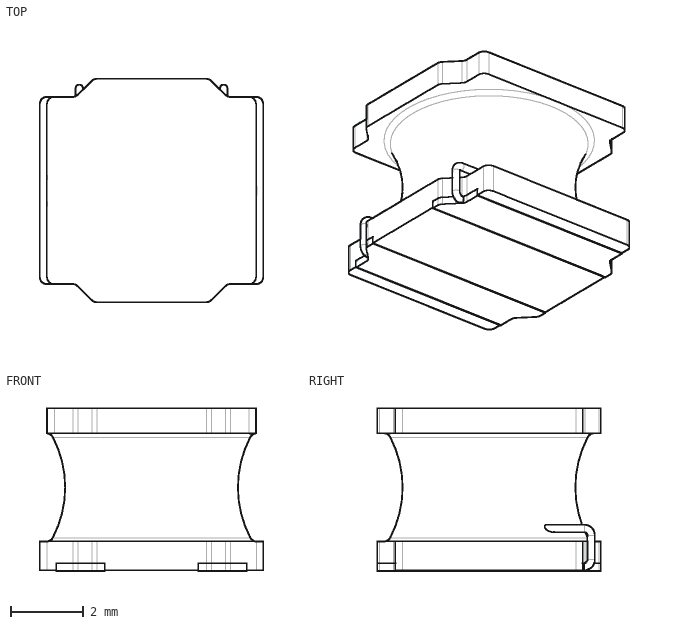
import cadquery as cq
import math

depth = 6.2
lower_width = 6.2
upper_width = 5.8
lower_thickness = 0.8
upper_thickness = 0.7
core_height = 4.5
corner_radius = 0.2

shoulder_y = 2.6
notch_inner_x = 2.1
notch_size = depth / 2 - shoulder_y
tab_half_width = notch_inner_x - notch_size

waist_radius = 2.4
neck_arc_radius = 3.0
neck_fillet = 0.2

strip_inner_x = 1.3
strip_outer_x = 2.65
strip_thickness = 0.22
strip_standoff = 0.02
wire_diameter = 0.21
wire_bend_radius = 0.2
wire_x = 2.0
wire_y = 2.835
wire_top_z = 1.185
wire_end_y = 1.365

core_bottom_z = strip_standoff
core_top_z = core_bottom_z + core_height
neck_bottom_z = core_bottom_z + lower_thickness
neck_top_z = core_top_z - upper_thickness
neck_middle_z = (neck_bottom_z + neck_top_z) / 2
wire_foot_z = core_bottom_z + wire_diameter / 2


def flange_prism(width, bottom_z, top_z):
    """Upright prism with the rounded, notched outline of a flange."""
    quarter = [
        (tab_half_width, depth / 2),
        (notch_inner_x, shoulder_y),
        (width / 2, shoulder_y),
    ]
    right = quarter + [(x, -y) for x, y in reversed(quarter)]
    left = [(-x, -y) for x, y in right]
    prism = cq.Workplane("XY").workplane(offset=bottom_z).polyline(right + left).close()
    return prism.extrude(top_z - bottom_z).edges("|Z").fillet(corner_radius)


def spool():
    """Round spool with a waisted, filleted neck and discs larger than the flanges."""
    half_neck = (neck_top_z - neck_bottom_z) / 2
    neck_end_radius = waist_radius + neck_arc_radius - math.sqrt(neck_arc_radius**2 - half_neck**2)
    disc_radius = depth
    profile = (
        cq.Workplane("XZ")
        .moveTo(0, core_bottom_z)
        .lineTo(disc_radius, core_bottom_z)
        .lineTo(disc_radius, neck_bottom_z)
        .lineTo(neck_end_radius, neck_bottom_z)
        .threePointArc((waist_radius, neck_middle_z), (neck_end_radius, neck_top_z))
        .lineTo(disc_radius, neck_top_z)
        .lineTo(disc_radius, core_top_z)
        .lineTo(0, core_top_z)
        .close()
    )
    blank = profile.revolve(360, (0, 0, 0), (0, 1, 0))
    neck_ends = cq.selectors.RadiusNthSelector(0)
    return blank.edges("%CIRCLE").edges(neck_ends).fillet(neck_fillet)


def terminal_strip(side):
    """Flat strip running the full depth, its ends flush with the lower flange outline."""
    strip = (
        cq.Workplane("XY")
        .center(side * (strip_inner_x + strip_outer_x) / 2, 0)
        .rect(strip_outer_x - strip_inner_x, depth)
        .extrude(strip_thickness)
    )
    return strip.intersect(flange_prism(lower_width, 0, strip_thickness))


def terminal_wire(side):
    """Round wire from inside the neck, down past the flange and back in at the strip."""
    bend_y = wire_y - wire_bend_radius
    bend_middle = wire_bend_radius * math.sqrt(0.5)
    upper_bend_z = wire_top_z - wire_bend_radius
    lower_bend_z = wire_foot_z + wire_bend_radius
    path = (
        cq.Workplane("YZ", origin=(side * wire_x, 0, 0))
        .moveTo(wire_end_y, wire_top_z)
        .lineTo(bend_y, wire_top_z)
        .threePointArc((bend_y + bend_middle, upper_bend_z + bend_middle), (wire_y, upper_bend_z))
        .lineTo(wire_y, lower_bend_z)
        .threePointArc((bend_y + bend_middle, lower_bend_z - bend_middle), (bend_y, wire_foot_z))
    )
    start = cq.Workplane("XZ", origin=(side * wire_x, wire_end_y, wire_top_z))
    return start.circle(wire_diameter / 2).sweep(path)


flange_outlines = flange_prism(lower_width, core_bottom_z, neck_middle_z).union(
    flange_prism(upper_width, neck_middle_z, core_top_z)
)
core = spool().intersect(flange_outlines)
sides = (-1, 1)
for side in sides:
    core = core.cut(terminal_strip(side))

terminals = []
for side in sides:
    wire_outside_core = terminal_wire(side).cut(core)
    terminal = terminal_strip(side).union(wire_outside_core)
    terminals.append(terminal.solids().val())

result = cq.Compound.makeCompound([core.solids().val(), *terminals])